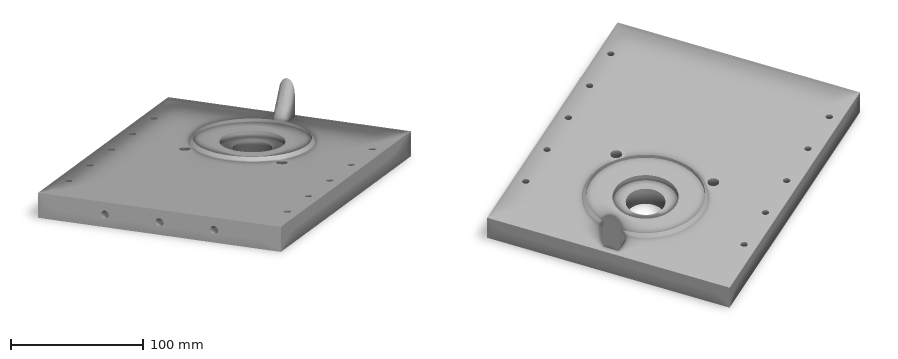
import cadquery as cq
import math

plate_width = 200
plate_length = 245
plate_height = 20
center_x = plate_width / 2

ring_y = 175
ring_height = 3
ring_base_diameter = 96
ring_inner_diameter = 90
bore_diameter = 30
counterbore_diameter = 50
counterbore_depth = 5

side_hole_diameter = 9
side_hole_spacing = 80
side_hole_y = 139

row_hole_diameter = 5.5
row_inset = 10
row_first_y = 35
row_pitch = 40
row_count = 5

end_hole_diameter = 6.4
end_hole_depth = 20
end_hole_tip_angle = 118
end_hole_pitch = 45
end_hole_count = 3
end_hole_z = plate_height / 2

horn_width = 13
horn_back_y = 240
horn_run = 17.5
horn_slope_angle = 60
horn_rise = horn_run * math.tan(math.radians(horn_slope_angle))


def make_plate():
    return cq.Workplane("XY").box(plate_width, plate_length, plate_height, centered=False)


def make_ring():
    """Ring with a sloping outside, an upright inside and a sharp top edge."""
    cone = (
        cq.Workplane("XY", origin=(center_x, ring_y, plate_height))
        .circle(ring_base_diameter / 2)
        .workplane(offset=ring_height)
        .circle(ring_inner_diameter / 2)
        .loft()
    )
    inside = (
        cq.Workplane("XY", origin=(center_x, ring_y, plate_height))
        .circle(ring_inner_diameter / 2)
        .extrude(ring_height)
    )
    return cone.cut(inside)


def horn_section(base, front_y):
    """Draw the level horn outline whose round front touches front_y."""
    radius = horn_width / 2
    round_y = front_y + radius
    tail_y = round_y + horn_run
    return (
        base.moveTo(-radius, tail_y)
        .lineTo(-radius, round_y)
        .threePointArc((0, front_y), (radius, round_y))
        .lineTo(radius, tail_y)
        .close()
    )


def make_horn():
    """Lean the outline back to the upright back face, then trim it there."""
    base = cq.Workplane("XY", origin=(center_x, 0, plate_height))
    foot = horn_section(base, horn_back_y - horn_run)
    leaning = horn_section(foot.workplane(offset=horn_rise), horn_back_y).loft(ruled=True)
    trim = cq.Workplane("XY", origin=(center_x, horn_back_y - horn_run, plate_height)).box(
        horn_width, horn_run, horn_rise, centered=(True, False, False)
    )
    return leaning.intersect(trim)


def make_bore():
    """Central through hole with a counterbore sunk from the plate top."""
    bore = cq.Workplane("XY", origin=(center_x, ring_y, 0)).circle(bore_diameter / 2).extrude(plate_height)
    counterbore = (
        cq.Workplane("XY", origin=(center_x, ring_y, plate_height))
        .circle(counterbore_diameter / 2)
        .extrude(-counterbore_depth)
    )
    return bore.union(counterbore)


def make_plate_holes(points, diameter):
    """Upright cutters through the whole plate."""
    return cq.Workplane("XY").pushPoints(points).circle(diameter / 2).extrude(plate_height)


def make_end_hole(x):
    """Drill-shaped cutter running inward from the front end."""
    radius = end_hole_diameter / 2
    tip_length = radius / math.tan(math.radians(end_hole_tip_angle / 2))
    return (
        cq.Workplane("XY", origin=(x, 0, end_hole_z))
        .lineTo(radius, 0)
        .lineTo(radius, end_hole_depth)
        .lineTo(0, end_hole_depth + tip_length)
        .close()
        .revolve(360, (0, 0, 0), (0, 1, 0))
    )


side_hole_points = [(center_x + side * side_hole_spacing / 2, side_hole_y) for side in (-1, 1)]
row_hole_points = [
    (x, row_first_y + index * row_pitch)
    for x in (row_inset, plate_width - row_inset)
    for index in range(row_count)
]

result = make_plate().union(make_ring()).union(make_horn())
result = result.cut(make_bore())
result = result.cut(make_plate_holes(side_hole_points, side_hole_diameter))
result = result.cut(make_plate_holes(row_hole_points, row_hole_diameter))
for index in range(end_hole_count):
    end_hole_x = center_x + (index - (end_hole_count - 1) / 2) * end_hole_pitch
    result = result.cut(make_end_hole(end_hole_x))